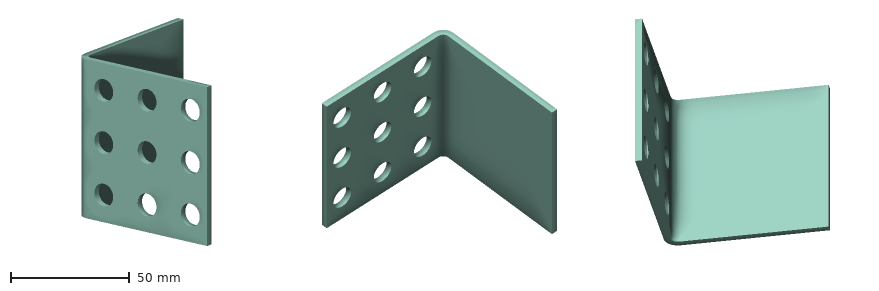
import cadquery as cq

side = 70.0
thickness = 3.0
inner_bend_radius = 3.0
outer_bend_radius = inner_bend_radius + thickness

hole_diameter = 10.0
hole_pitch = 23.0
holes_per_side = 3
grid_center_x = 38.0
grid_center_z = side / 2


def bent_sheet():
    """L-shaped sheet with legs along X and Y, its bend edge parallel to Z."""
    legs = (
        cq.Workplane("XY")
        .moveTo(0, 0)
        .lineTo(side, 0)
        .lineTo(side, thickness)
        .lineTo(thickness, thickness)
        .lineTo(thickness, side)
        .lineTo(0, side)
        .close()
        .extrude(side)
    )
    outer_corner = cq.NearestToPointSelector((0, 0, side / 2))
    inner_corner = cq.NearestToPointSelector((thickness, thickness, side / 2))
    legs = legs.edges("|Z").edges(outer_corner).fillet(outer_bend_radius)
    return legs.edges("|Z").edges(inner_corner).fillet(inner_bend_radius)


def hole_grid():
    """Cylinders that pierce the front leg along Y."""
    return (
        cq.Workplane("XZ", origin=(grid_center_x, 0, grid_center_z))
        .rarray(hole_pitch, hole_pitch, holes_per_side, holes_per_side)
        .circle(hole_diameter / 2)
        .extrude(-thickness)
    )


result = bent_sheet().cut(hole_grid())